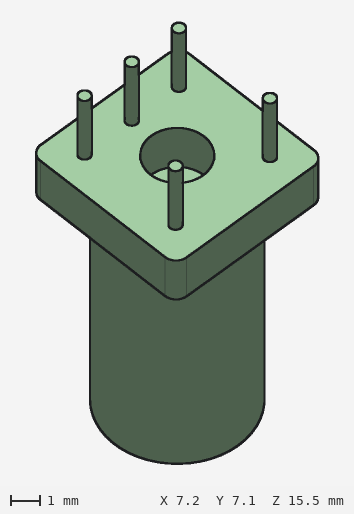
import cadquery as cq

total_height = 15.5
pin_length = 3.0
plate_thickness = 2.0
barrel_length = total_height - pin_length - plate_thickness

barrel_diameter = 6.0
bore_diameter = 2.54

plate_width = 7.2
plate_depth = 7.1
corner_radius = 0.53
plate_top = barrel_length + plate_thickness

pin_diameter = 0.5
pin_pitch = 4.5
half_pitch = pin_pitch / 2
pin_positions = [(x, y) for x in (-half_pitch, half_pitch) for y in (-half_pitch, half_pitch)]
pin_positions.append((-half_pitch, 0))

bore_depth = plate_thickness


def make_barrel():
    return cq.Workplane("XY").circle(barrel_diameter / 2).extrude(barrel_length)


def make_plate():
    return (
        cq.Workplane("XY", origin=(0, 0, barrel_length))
        .rect(plate_width, plate_depth)
        .extrude(plate_thickness)
        .edges("|Z")
        .fillet(corner_radius)
    )


def make_pins():
    return (
        cq.Workplane("XY", origin=(0, 0, plate_top))
        .pushPoints(pin_positions)
        .circle(pin_diameter / 2)
        .extrude(pin_length)
    )


def make_bore():
    return (
        cq.Workplane("XY", origin=(0, 0, plate_top))
        .circle(bore_diameter / 2)
        .extrude(-bore_depth)
    )


result = make_barrel().union(make_plate()).union(make_pins()).cut(make_bore())